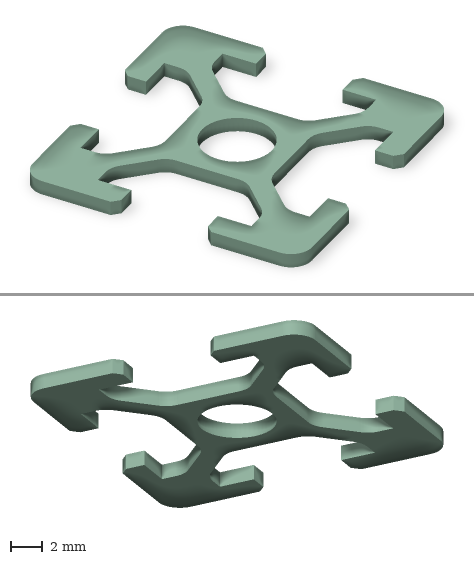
import cadquery as cq
import math

side = 20.0
thickness = 1.0
corner_radius = 1.5
bore_diameter = 5.0

opening_width = 6.2
lip_thickness = 1.8
lip_chamfer = 0.5
cavity_width = 11.0
core_width = 7.8
web_thickness = 1.5
cavity_fillet = 1.5

half_side = side / 2
half_opening = opening_width / 2
half_cavity = cavity_width / 2
half_core = core_width / 2
lip_inner = half_side - lip_thickness

web_offset = web_thickness / 2 * math.sqrt(2)


def slot_cutter():
    """T-slot void open toward +Y, with chamfered mouth and rounded web ends."""
    half_outline = [
        (half_opening + lip_chamfer, half_side),
        (half_opening, half_side - lip_chamfer),
        (half_opening, lip_inner),
        (half_cavity, lip_inner),
        (half_cavity, half_cavity + web_offset),
        (half_core - web_offset, half_core),
    ]
    mirrored = [(-x, y) for x, y in reversed(half_outline)]
    cutter = cq.Workplane("XY").polyline(half_outline + mirrored).close().extrude(thickness)

    below_lip = cq.selectors.BoxSelector(
        (-half_side, 0, 0),
        (half_side, lip_inner - lip_chamfer, thickness),
    )
    return cutter.edges("|Z").edges(below_lip).fillet(cavity_fillet)


result = cq.Workplane("XY").rect(side, side).extrude(thickness)
result = result.edges("|Z").fillet(corner_radius)

slot = slot_cutter()
for angle in (0, 90, 180, 270):
    result = result.cut(slot.rotate((0, 0, 0), (0, 0, 1), angle))

result = result.faces(">Z").workplane().hole(bore_diameter)